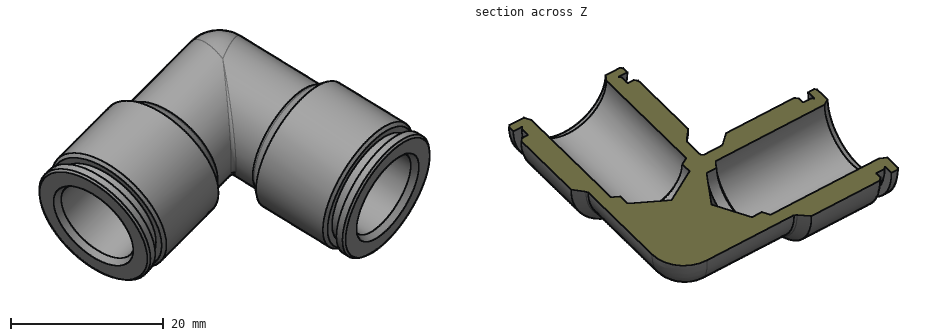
import cadquery as cq
import math

overall_length = 36.9
body_radius = 19.0 / 2
port_length = overall_length - body_radius

neck_radius = 16.0 / 2
outer_bend_radius = 5.15
bend_centre = neck_radius - outer_bend_radius
bend_sections = 9
inner_bend_radius = 0.45

shoulder_foot = 11.25
shoulder_start = 11.55
shoulder_root_radius = 8.2
shoulder_end = 13.0
body_end = 24.5
body_chamfer = 0.45

collar_radius = 16.25 / 2
collar_chamfer = 0.3
flange_radius = 18.5 / 2
flange_thickness = 1.3
flange_chamfer = 0.3
flange_start = port_length - flange_thickness

mouth_radius = 13.2 / 2
mouth_chamfer_depth = 0.92
socket_radius = 12.15 / 2
socket_end = 8.85
bore_radius = 10.0 / 2
cone_slope = math.tan(math.radians(30))
seat_end = socket_end - (socket_radius - bore_radius) * cone_slope
bore_end = 6.65
bore_tip = bore_end - bore_radius * cone_slope


def revolve_port(points):
    """Revolve a closed (radius, distance) outline into a solid along -Y."""
    outline = [(radius, -distance) for radius, distance in points]
    return cq.Workplane("XY").polyline(outline).close().revolve(360, (0, 0), (0, 1))


def to_x_port(solid):
    """Reflect a solid on the -Y port across the mitre plane onto the +X port."""
    return solid.mirror("XZ").rotate((0, 0, 0), (0, 0, 1), -90)


def on_both_ports(solid):
    return solid.union(to_x_port(solid))


def make_half_neck(wedge_outline):
    """Part of the -Y neck that lies within a wedge around the Z axis."""
    neck = (
        cq.Workplane("XZ")
        .workplane(offset=-neck_radius)
        .circle(neck_radius)
        .extrude(shoulder_end + neck_radius)
    )
    wedge = cq.Workplane("XY").polyline(wedge_outline).close().extrude(neck_radius, both=True)
    return neck.intersect(wedge)


def make_inner_half():
    """Half necks meeting at the mitre plane x + y = 0, with the inner edge filleted."""
    wedge_outline = [(0, 0), (shoulder_end, -shoulder_end), (0, -shoulder_end)]
    mitred_necks = on_both_ports(make_half_neck(wedge_outline))
    return mitred_necks.edges("%ELLIPSE").fillet(inner_bend_radius)


def make_bend_section(angle):
    """Half ellipse through the Z axis and the point of the bend arc at this angle."""
    x = -bend_centre - outer_bend_radius * math.cos(angle)
    y = bend_centre + outer_bend_radius * math.sin(angle)
    section_plane = cq.Plane(origin=(0, 0, 0), xDir=(x, y, 0), normal=(y, -x, 0))
    half_ellipse = cq.Workplane(section_plane).ellipseArc(
        math.hypot(x, y), neck_radius, -90, 90, startAtCurrent=False
    )
    return half_ellipse.close().val()


def make_bend():
    """Rounded outer corner whose radius shrinks to zero at its top and bottom."""
    angles = [math.radians(90) * i / (bend_sections - 1) for i in range(bend_sections)]
    return cq.Workplane(cq.Solid.makeLoft([make_bend_section(angle) for angle in angles]))


def make_outer_necks():
    """Outer half necks, each ending where the bend begins."""
    wedge_outline = [
        (0, 0),
        (-neck_radius, bend_centre),
        (-neck_radius, -shoulder_end),
        (0, -shoulder_end),
    ]
    return on_both_ports(make_half_neck(wedge_outline))


def make_elbow():
    return make_inner_half().union(make_bend()).union(make_outer_necks())


def make_port_body():
    """Shouldered body, collar and flange of one port."""
    return revolve_port([
        (0, shoulder_foot),
        (neck_radius, shoulder_foot),
        (shoulder_root_radius, shoulder_start),
        (body_radius, shoulder_end),
        (body_radius, body_end - body_chamfer),
        (body_radius - body_chamfer, body_end),
        (collar_radius, body_end),
        (collar_radius, flange_start - collar_chamfer),
        (collar_radius - collar_chamfer, flange_start),
        (flange_radius, flange_start),
        (flange_radius, port_length - flange_chamfer),
        (flange_radius - flange_chamfer, port_length),
        (0, port_length),
    ])


def make_bore():
    """Material removed from one port; the pointed bottoms stop short of each other."""
    return revolve_port([
        (0, bore_tip),
        (bore_radius, bore_end),
        (bore_radius, seat_end),
        (socket_radius, socket_end),
        (socket_radius, port_length - mouth_chamfer_depth),
        (mouth_radius, port_length),
        (0, port_length),
    ])


outside = make_elbow().union(on_both_ports(make_port_body()))
result = outside.cut(on_both_ports(make_bore()))